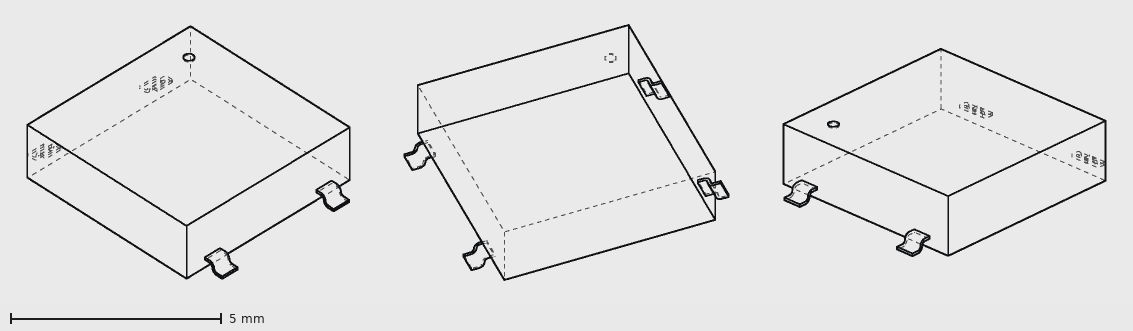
import cadquery as cq
import math

HOUSING_SIDE = 5.41
HOUSING_HEIGHT = 1.6

OVERALL_LENGTH = 6.6
LEAD_PITCH = 3.695
LEAD_WIDTH = 0.51
LEAD_THICKNESS = 0.07
LEAD_TOP = 0.32
SHOULDER_LENGTH = 0.165
BEND_INNER_RADIUS = 0.085
BEND_ANGLE = math.radians(80)

MARK_DIAMETER = 0.27
MARK_DEPTH = 0.03
MARK_X = -1.88
MARK_Y = LEAD_PITCH / 2


def make_mark():
    """Disc whose upper face lies in the housing top."""
    return (
        cq.Workplane("XY", origin=(MARK_X, MARK_Y, HOUSING_HEIGHT - MARK_DEPTH))
        .circle(MARK_DIAMETER / 2)
        .extrude(MARK_DEPTH)
    )


def make_housing(mark):
    """Plain block with a recess that fits the mark."""
    block = cq.Workplane("XY").box(
        HOUSING_SIDE, HOUSING_SIDE, HOUSING_HEIGHT, centered=(True, True, False)
    )
    return block.cut(mark)


def make_lead():
    """Gull-wing lead on the +X side, centred on Y = 0."""
    root_x = HOUSING_SIDE / 2
    foot_z = LEAD_THICKNESS / 2
    shoulder_z = LEAD_TOP - LEAD_THICKNESS / 2

    bend_radius = BEND_INNER_RADIUS + LEAD_THICKNESS / 2
    bend_run = bend_radius * math.sin(BEND_ANGLE)
    bend_drop = bend_radius * (1 - math.cos(BEND_ANGLE))
    leg_drop = shoulder_z - foot_z - 2 * bend_drop
    leg_run = leg_drop / math.tan(BEND_ANGLE)

    upper_bend_x = root_x + SHOULDER_LENGTH
    leg_top_x = upper_bend_x + bend_run
    leg_bottom_x = leg_top_x + leg_run
    foot_x = leg_bottom_x + bend_run

    path = (
        cq.Workplane("XZ")
        .moveTo(root_x, shoulder_z)
        .lineTo(upper_bend_x, shoulder_z)
        .tangentArcPoint((leg_top_x, shoulder_z - bend_drop), relative=False)
        .lineTo(leg_bottom_x, foot_z + bend_drop)
        .tangentArcPoint((foot_x, foot_z), relative=False)
        .lineTo(OVERALL_LENGTH / 2, foot_z)
    )
    return (
        cq.Workplane("YZ", origin=(root_x, 0, shoulder_z))
        .rect(LEAD_WIDTH, LEAD_THICKNESS)
        .sweep(path)
    )


def make_leads():
    """One separate lead at each of the four positions."""
    right_lead = make_lead()
    left_lead = right_lead.mirror("YZ")
    leads = []
    for lead in (left_lead, right_lead):
        for y in (-LEAD_PITCH / 2, LEAD_PITCH / 2):
            leads.append(lead.translate((0, y, 0)).val())
    return leads


mark = make_mark()
housing = make_housing(mark)
leads = make_leads()

result = cq.Compound.makeCompound([housing.val(), mark.val(), *leads])